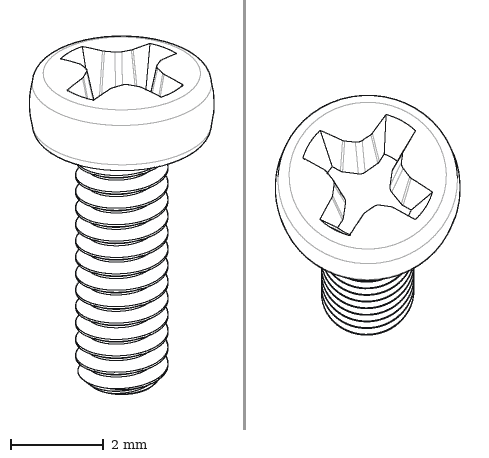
import cadquery as cq
import math


shank_length = 6.0
major_radius = 1.0
pitch = 0.4
crest_width = pitch / 8
flank_half_angle = math.radians(30)
thread_depth = 0.26
minor_radius = major_radius - thread_depth
crest_start_z = -0.085
ridge_overlap = 0.03

head_radius = 2.0
head_height = 1.6
head_belly_z = 0.71
head_side_half_height = 0.48
head_side_radius = 1.94
underside_flat_radius = 1.72
rim_radius = 1.7
rim_z = 1.445

recess_depth = 1.3
recess_top_reach = 1.5
recess_floor_reach = 1.005
recess_top_tip_half_width = 0.388
recess_top_root_half_width = 0.4
recess_floor_half_width = 0.17
recess_top_root_reach = 0.84
recess_floor_root_reach = 0.76
recess_flare_angle = math.radians(22.5)
recess_root_edge_radius = 0.13
recess_diagonal_edge_radius = 0.2


def make_head():
    side_low_z = head_belly_z - head_side_half_height
    side_high_z = head_belly_z + head_side_half_height
    diagonal = math.sqrt(0.5)
    low_bulge = (
        underside_flat_radius + (head_side_radius - underside_flat_radius) * diagonal,
        side_low_z * (1 - diagonal),
    )
    high_bulge = (
        rim_radius + (head_side_radius - rim_radius) * diagonal,
        side_high_z + (rim_z - side_high_z) * diagonal,
    )
    dome_rise = head_height - rim_z
    dome_radius = (rim_radius**2 + dome_rise**2) / (2 * dome_rise)
    dome_mid_radius = rim_radius / 2
    dome_mid_z = head_height - dome_radius + math.sqrt(dome_radius**2 - dome_mid_radius**2)
    return (
        cq.Workplane("XZ")
        .lineTo(underside_flat_radius, 0)
        .threePointArc(low_bulge, (head_side_radius, side_low_z))
        .threePointArc((head_radius, head_belly_z), (head_side_radius, side_high_z))
        .threePointArc(high_bulge, (rim_radius, rim_z))
        .threePointArc((dome_mid_radius, dome_mid_z), (0, head_height))
        .close()
        .revolve(360, (0, 0, 0), (0, 1, 0))
    )


def rotated(point, quarter_turns):
    x, y = point
    for _ in range(quarter_turns):
        x, y = -y, x
    return (x, y)


def cross_outline(plane, reach, tip_half_width, root_half_width, root_reach):
    """Four wings with round tips; flares at their roots meet on the diagonals."""
    tip_x = math.sqrt(reach**2 - tip_half_width**2)
    flare_slope = math.tan(recess_flare_angle)
    diagonal_xy = (root_half_width + root_reach * flare_slope) / (1 + flare_slope)
    outline = plane.moveTo(tip_x, -tip_half_width)
    for turn in range(4):
        outline = outline.threePointArc(
            rotated((reach, 0), turn),
            rotated((tip_x, tip_half_width), turn),
        )
        for corner in (
            (root_reach, root_half_width),
            (diagonal_xy, diagonal_xy),
            (root_half_width, root_reach),
            (tip_half_width, tip_x),
        ):
            outline = outline.lineTo(*rotated(corner, turn))
    return outline.close()


def fillet_sloped_edges(solid, inner_radius, outer_radius, fillet_radius):
    """Round the non-horizontal edges whose centres lie between two distances from the axis."""

    def is_in_range(edge):
        centre = edge.Center()
        return inner_radius < math.hypot(centre.x, centre.y) < outer_radius

    return solid.edges("not(#Z or <Z or >Z)").filter(is_in_range).fillet(fillet_radius)


def make_recess():
    floor = cross_outline(
        cq.Workplane("XY").workplane(offset=head_height - recess_depth),
        recess_floor_reach,
        recess_floor_half_width,
        recess_floor_half_width,
        recess_floor_root_reach,
    )
    recess = cross_outline(
        floor.workplane(offset=recess_depth),
        recess_top_reach,
        recess_top_tip_half_width,
        recess_top_root_half_width,
        recess_top_root_reach,
    ).loft(ruled=True)

    recess = fillet_sloped_edges(recess, 0, recess_floor_root_reach, recess_diagonal_edge_radius)
    return fillet_sloped_edges(
        recess, recess_floor_root_reach, recess_floor_reach, recess_root_edge_radius
    )


def make_thread_ridge():
    """Right-handed ridge that overruns both ends of the shank."""
    root_radius = minor_radius - ridge_overlap
    crest_half = crest_width / 2
    root_half = crest_half + (major_radius - root_radius) * math.tan(flank_half_angle)
    turns = math.ceil(shank_length / pitch) + 2
    start_z = crest_start_z - (turns - 1) * pitch
    path = cq.Wire.makeHelix(pitch, turns * pitch, minor_radius, center=cq.Vector(0, 0, start_z))
    return (
        cq.Workplane("XZ")
        .polyline(
            [
                (root_radius, start_z - root_half),
                (major_radius, start_z - crest_half),
                (major_radius, start_z + crest_half),
                (root_radius, start_z + root_half),
            ]
        )
        .close()
        .sweep(cq.Workplane(obj=path), isFrenet=True)
    )


def make_shank():
    core = cq.Workplane("XY").circle(minor_radius).extrude(-shank_length)
    envelope_radius = head_radius
    point_height = envelope_radius - minor_radius
    envelope = (
        cq.Workplane("XZ")
        .polyline(
            [
                (0, 0),
                (envelope_radius, 0),
                (envelope_radius, point_height - shank_length),
                (minor_radius, -shank_length),
                (0, -shank_length),
            ]
        )
        .close()
        .revolve(360, (0, 0, 0), (0, 1, 0))
    )
    return core.union(make_thread_ridge().intersect(envelope))


result = make_head().cut(make_recess()).union(make_shank())